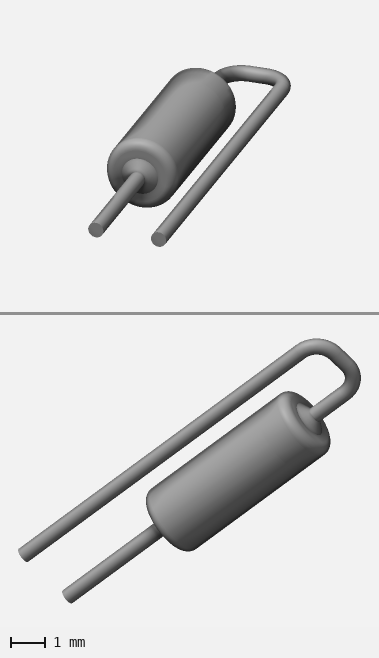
import cadquery as cq


overall_length = 11.51
body_diameter = 2.156
body_length = 5.44
end_round = 0.27
cone_height = 0.20
cone_base_diameter = 1.10

band_start = 0.30
band_width = 0.75
band_thickness = 0.05

lead_diameter = 0.46
lead_pitch = 1.905
bend_radius = 1.5 * lead_diameter
lead_drop = 3.80

body_radius = body_diameter / 2
lead_radius = lead_diameter / 2
body_end = body_length / 2
cone_tip = body_end + cone_height
band_top = body_end - band_start
lead_tip_y = -body_end - lead_drop
bridge_y = lead_tip_y + overall_length - lead_radius
bend_start_y = bridge_y - bend_radius


def axial_cylinder(radius, y_from, y_to):
    """Cylinder on the Y axis between two Y places."""
    start_plane = cq.Plane(origin=(0, y_from, 0), xDir=(1, 0, 0), normal=(0, 1, 0))
    return cq.Workplane(start_plane).circle(radius).extrude(y_to - y_from)


def make_band():
    outer = axial_cylinder(body_radius, band_top - band_width, band_top)
    inner = axial_cylinder(body_radius - band_thickness, band_top - band_width, band_top)
    return outer.cut(inner)


def make_body(band):
    """Rounded glass barrel with a cone at each end and a groove for the band."""
    barrel = axial_cylinder(body_radius, -body_end, body_end).edges("%CIRCLE").fillet(end_round)
    cone_profile = (
        cq.Workplane("XY")
        .moveTo(0, -cone_tip)
        .lineTo(lead_radius, -cone_tip)
        .lineTo(cone_base_diameter / 2, -body_end)
        .lineTo(cone_base_diameter / 2, body_end)
        .lineTo(lead_radius, cone_tip)
        .lineTo(0, cone_tip)
        .close()
    )
    cones = cone_profile.revolve(360, (0, 0, 0), (0, 1, 0))
    return barrel.union(cones).cut(band)


def make_straight_lead():
    return axial_cylinder(lead_radius, lead_tip_y, -cone_tip)


def make_folded_lead():
    """Lead leaving the +Y cone, bent twice and running back parallel to the body."""
    path = (
        cq.Workplane("XY")
        .moveTo(0, cone_tip)
        .lineTo(0, bend_start_y)
        .radiusArc((bend_radius, bridge_y), bend_radius)
        .lineTo(lead_pitch - bend_radius, bridge_y)
        .radiusArc((lead_pitch, bend_start_y), bend_radius)
        .lineTo(lead_pitch, lead_tip_y)
    )
    start_plane = cq.Plane(origin=(0, cone_tip, 0), xDir=(1, 0, 0), normal=(0, 1, 0))
    return cq.Workplane(start_plane).circle(lead_radius).sweep(path)


band = make_band()
body = make_body(band)
straight_lead = make_straight_lead()
folded_lead = make_folded_lead()

result = cq.Compound.makeCompound(
    [body.val(), band.val(), straight_lead.val(), folded_lead.val()]
)